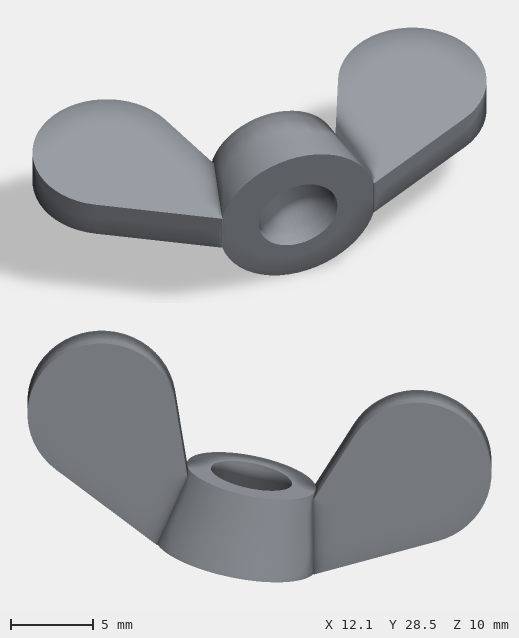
import cadquery as cq
import math

span = 28.5
depth = 12.05
hub_base_radius = 5.004
hub_tip_radius = 4.0
hub_length = 5.0
bore_radius = 2.5
wing_thickness = 2.5
wing_radius = 4.5

tip_overhang = 0.05

wing_center = (tip_overhang + wing_radius - depth, span / 2 - wing_radius)
outer_root = (tip_overhang, math.sqrt(hub_base_radius**2 - (wing_thickness / 2) ** 2))
inner_root = (-4.55, 3.88)
buried_root_y = 3.15


def tangent_point(root, side):
    """Point where the line from root touches the lobe; side picks one of the two."""
    dx = root[0] - wing_center[0]
    dy = root[1] - wing_center[1]
    angle = math.atan2(dy, dx) + side * math.acos(wing_radius / math.hypot(dx, dy))
    return lobe_point(angle)


def lobe_point(angle):
    return (
        wing_center[0] + wing_radius * math.cos(angle),
        wing_center[1] + wing_radius * math.sin(angle),
    )


def make_hub():
    """Tapered hub, revolved around the X axis."""
    return (
        cq.Workplane("XY")
        .polyline([(0, 0), (0, hub_base_radius), (-hub_length, hub_tip_radius), (-hub_length, 0)])
        .close()
        .revolve(360, (0, 0, 0), (1, 0, 0))
    )


def make_wing():
    """Teardrop wing on the +Y side, centered on z = 0."""
    far_side = lobe_point(math.radians(135))
    return (
        cq.Workplane("XY")
        .moveTo(0, buried_root_y)
        .lineTo(0, outer_root[1] - tip_overhang)
        .lineTo(*outer_root)
        .lineTo(*tangent_point(outer_root, 1))
        .threePointArc(far_side, tangent_point(inner_root, -1))
        .lineTo(*inner_root)
        .lineTo(inner_root[0], buried_root_y)
        .close()
        .extrude(wing_thickness / 2, both=True)
    )


wing = make_wing()
bore = cq.Workplane("YZ").circle(bore_radius).extrude(-hub_length)
result = make_hub().union(wing).union(wing.mirror("XZ")).cut(bore)